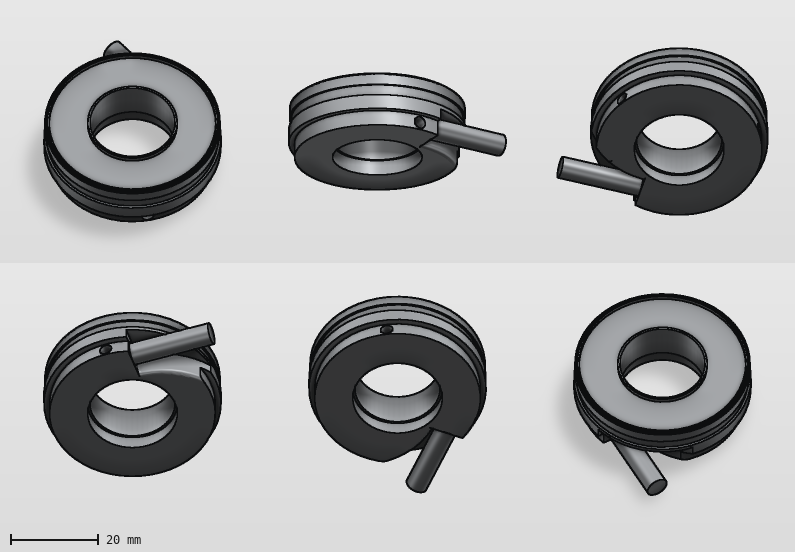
import cadquery as cq
import math

base_diameter = 37.8
flange_diameter = 40.4
groove_diameter = 39.2
band_diameter = 40.0
lip_diameter = 39.3
lip_chamfer = 0.2
base_top = 3.55
flange_top = 6.95
groove_top = 9.6
band_top = 12.15
total_height = 12.6

recess_diameter = 38.0
collar_diameter = 20.4
recess_depth = 1.05

bore_diameter = 19.4
counterbore_diameter = collar_diameter

overall_length = 44.2
cable_diameter = 5.0
cable_y = 14.6
cable_z = 2.95
cable_countersink_diameter = 5.65

relief_face_x = -5.15
relief_height = 5.92
relief_wall_radius = 18.45
relief_wall_center = (-4.85, -7.5)
relief_corner_radius = 0.9
relief_edge_radius = 1.0

screw_hole_diameter = 2.8
screw_hole_depth = 3.55
screw_hole_z = 1.72
screw_hole_angles = (-150, -30, 90)


def cylinder(diameter, bottom, top):
    return cq.Workplane("XY").workplane(offset=bottom).circle(diameter / 2).extrude(top - bottom)


def rod_along_x(diameter, x_start, x_end):
    """Cylinder on the cable axis."""
    return (
        cq.Workplane("YZ", origin=(x_start, cable_y, cable_z))
        .circle(diameter / 2)
        .extrude(x_end - x_start)
    )


def make_ring():
    ring = cylinder(base_diameter, 0, base_top)
    ring = ring.union(cylinder(flange_diameter, base_top, flange_top))
    ring = ring.union(cylinder(groove_diameter, flange_top, groove_top))
    ring = ring.union(cylinder(band_diameter, groove_top, band_top))
    lip = cylinder(lip_diameter, band_top, total_height)
    ring = ring.union(lip.faces(">Z").edges().chamfer(lip_chamfer))
    recess_floor = total_height - recess_depth
    recess = cylinder(recess_diameter, recess_floor, total_height)
    recess = recess.cut(cylinder(collar_diameter, recess_floor, total_height))
    ring = ring.cut(recess).cut(cylinder(counterbore_diameter, 0, base_top))
    return ring.cut(cylinder(bore_diameter, 0, total_height))


def make_relief():
    """Space cut from the ring: a flat end face meeting a convex wall that has a rounded lower edge."""
    block_size = flange_diameter
    block = (
        cq.Workplane("XY")
        .box(block_size, block_size, relief_height, centered=False)
        .translate((relief_face_x - block_size, 0, 0))
    )
    wall_x, wall_y = relief_wall_center
    wall = (
        cq.Workplane("XY", origin=(wall_x, wall_y, 0))
        .circle(relief_wall_radius)
        .extrude(relief_height)
    )
    slab = (
        cq.Workplane("XY")
        .box(relief_wall_radius / 2, block_size, relief_height, centered=False)
        .translate((relief_face_x, wall_y, 0))
    )
    corner_y = wall_y + math.sqrt(relief_wall_radius**2 - (relief_face_x - wall_x) ** 2)
    kept = wall.union(slab)
    corner = cq.selectors.NearestToPointSelector((relief_face_x, corner_y, relief_height / 2))
    kept = kept.edges("|Z").edges(corner).fillet(relief_corner_radius)
    kept = kept.faces("<Z").edges().fillet(relief_edge_radius)
    return block.cut(kept)


def make_screw_holes():
    outer_radius = base_diameter / 2
    holes = cq.Workplane("XY")
    for angle in screw_hole_angles:
        hole = (
            cq.Workplane("YZ", origin=(outer_radius - screw_hole_depth, 0, screw_hole_z))
            .circle(screw_hole_diameter / 2)
            .extrude(2 * screw_hole_depth)
            .rotate((0, 0, 0), (0, 0, 1), angle)
        )
        holes = holes.add(hole)
    return holes.combine()


def make_cable_countersink():
    """45 degree entry around the cable, carried forward through the toe of the corner fillet."""
    depth = (cable_countersink_diameter - cable_diameter) / 2
    cone = cq.Solid.makeCone(
        cable_countersink_diameter / 2,
        cable_diameter / 2,
        depth,
        pnt=cq.Vector(relief_face_x, cable_y, cable_z),
        dir=cq.Vector(1, 0, 0),
    )
    front = rod_along_x(cable_countersink_diameter, relief_face_x - relief_corner_radius, relief_face_x)
    return front.union(cq.Workplane(cone))


cable_start_x = flange_diameter / 2 - overall_length
cable_end_x = relief_face_x + cable_diameter / 2

body = make_ring().cut(make_relief()).cut(make_screw_holes()).cut(make_cable_countersink())
result = body.union(rod_along_x(cable_diameter, cable_start_x, cable_end_x))